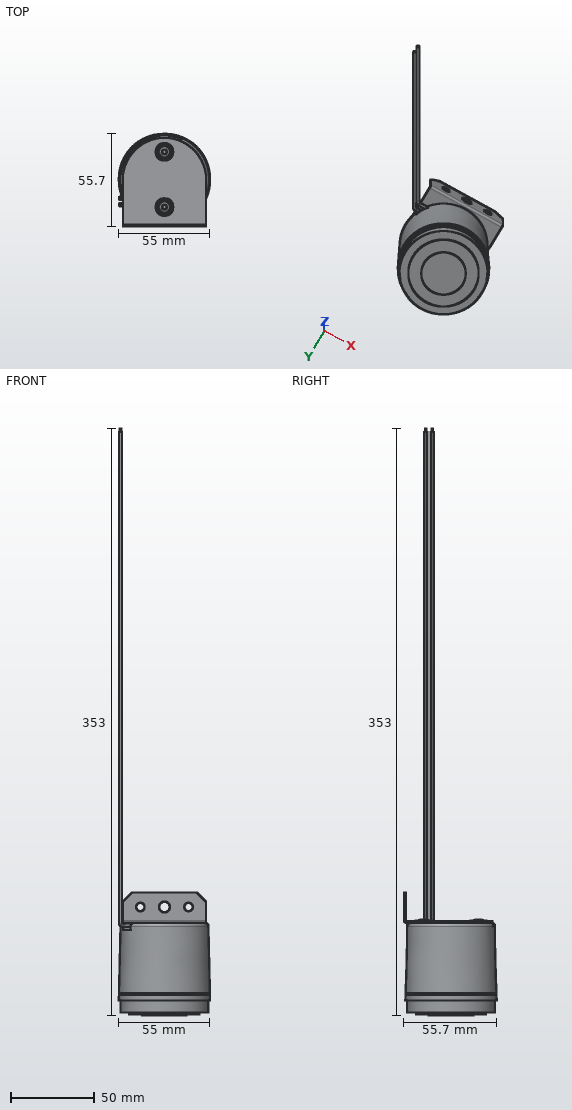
import cadquery as cq
import math

total_height = 353.0

shell_top_radius = 26.5
shell_bottom_radius = 27.5
base_radius = 26.5
housing_top_z = 55.8
rim_fillet = 2.0
shell_bottom_z = 9.2
groove_z = 13.0
groove_width = 1.0
groove_depth = 0.18
base_bottom_z = 1.8
foot_radius = 21.2
foot_bottom_z = 0.7
nub_radius = 13.5

notch_angle = 210.0
notch_width = 8.5
notch_inner_distance = 20.0
notch_bottom_z = 51.5

plate_thickness = 1.0
plate_half_width = 25.0
flange_outer_y = -28.2
flange_top_z = 74.0
flange_corner = 5.5
bend_outer_radius = 1.5
mount_hole_z = 65.3
mount_hole_offset = 14.5
side_hole_radius = 2.5
centre_hole_radius = 3.2

rivet_offset = 16.5
head_radius = 5.3
crown_radius = 4.5
crown_height = 0.5
tip_base_radius = 2.65
tip_base_height = 0.53
tip_radius = 1.5
head_height = 1.0
shank_radius = 3.5
shank_depth = 7.0

lead_radius = 1.0
lead_x = -26.5
lead_ys = (-11.3, -15.2)
lead_run_z = 54.5
lead_end_x = -20.0
lead_bend_radius = 1.5
bare_radius = 0.53
bare_length = 2.0

plate_top_z = housing_top_z + plate_thickness
bend_inner_radius = bend_outer_radius - plate_thickness
rivet_ys = (rivet_offset, -rivet_offset)


def shell_radius(z):
    """Radius of the drafted shell wall at height z."""
    fillet_start_z = housing_top_z - rim_fillet
    fraction = (z - shell_bottom_z) / (fillet_start_z - shell_bottom_z)
    return shell_bottom_radius + fraction * (shell_top_radius - shell_bottom_radius)


def make_lead(y):
    """One wire: vertical run, bend, and a short horizontal run into the notch."""
    insulation_top_z = total_height - bare_length
    bend_centre_x = lead_x + lead_bend_radius
    bend_centre_z = lead_run_z + lead_bend_radius
    diagonal = lead_bend_radius * math.sqrt(0.5)
    path = (
        cq.Workplane("XZ", origin=(0, y, 0))
        .moveTo(lead_x, insulation_top_z)
        .lineTo(lead_x, bend_centre_z)
        .threePointArc(
            (bend_centre_x - diagonal, bend_centre_z - diagonal),
            (bend_centre_x, lead_run_z),
        )
        .lineTo(lead_end_x, lead_run_z)
    )
    insulation = (
        cq.Workplane("XY", origin=(lead_x, y, insulation_top_z))
        .circle(lead_radius)
        .sweep(path)
    )
    bare_tip = (
        cq.Workplane("XY", origin=(lead_x, y, insulation_top_z))
        .circle(bare_radius)
        .extrude(bare_length)
    )
    return insulation.union(bare_tip)


def make_rivet(y):
    """One rivet: low crowned head on the plate, a raised tip in its middle, and a shank below."""
    shank_bottom_z = housing_top_z - shank_depth
    rivet = (
        cq.Workplane("XZ")
        .moveTo(0, shank_bottom_z)
        .lineTo(shank_radius, shank_bottom_z)
        .lineTo(shank_radius, plate_top_z)
        .lineTo(head_radius, plate_top_z)
        .lineTo(crown_radius, plate_top_z + crown_height)
        .lineTo(tip_base_radius, plate_top_z + tip_base_height)
        .lineTo(tip_radius, plate_top_z + head_height)
        .lineTo(0, plate_top_z + head_height)
        .close()
        .revolve(360, (0, 0), (0, 1))
    )
    return rivet.translate((0, y, 0))


def drill_rivet_holes(body):
    """Clear the rivet shanks out of a body."""
    holes = (
        cq.Workplane("XY", origin=(0, 0, housing_top_z - shank_depth))
        .pushPoints([(0, y) for y in rivet_ys])
        .circle(shank_radius)
        .extrude(shank_depth + plate_thickness)
    )
    return body.cut(holes)


def make_housing(leads):
    """Turned cup and base with the lead notch and the rivet holes."""
    fillet_start_z = housing_top_z - rim_fillet
    diagonal = rim_fillet * math.sqrt(0.5)
    fillet_centre_x = shell_top_radius - rim_fillet
    groove_top_z = groove_z + groove_width / 2
    groove_bottom_z = groove_z - groove_width / 2
    housing = (
        cq.Workplane("XZ")
        .moveTo(0, 0)
        .lineTo(-nub_radius, 0)
        .lineTo(-nub_radius, foot_bottom_z)
        .lineTo(-foot_radius, foot_bottom_z)
        .lineTo(-foot_radius, base_bottom_z)
        .lineTo(-base_radius, base_bottom_z)
        .lineTo(-base_radius, shell_bottom_z)
        .lineTo(-shell_bottom_radius, shell_bottom_z)
        .lineTo(-shell_radius(groove_bottom_z), groove_bottom_z)
        .lineTo(groove_depth - shell_radius(groove_bottom_z), groove_bottom_z)
        .lineTo(groove_depth - shell_radius(groove_top_z), groove_top_z)
        .lineTo(-shell_radius(groove_top_z), groove_top_z)
        .lineTo(-shell_top_radius, fillet_start_z)
        .threePointArc(
            (-fillet_centre_x - diagonal, fillet_start_z + diagonal),
            (-fillet_centre_x, housing_top_z),
        )
        .lineTo(0, housing_top_z)
        .close()
        .revolve(360, (0, 0), (0, 1))
    )
    notch_length = shell_bottom_radius - notch_inner_distance
    notch = (
        cq.Workplane("XY")
        .box(notch_length, notch_width, housing_top_z - notch_bottom_z, centered=(False, True, False))
        .translate((notch_inner_distance, 0, notch_bottom_z))
        .rotate((0, 0, 0), (0, 0, 1), notch_angle)
    )
    housing = drill_rivet_holes(housing.cut(notch))
    for lead in leads:
        housing = housing.cut(lead)
    return housing


def make_bracket():
    """Round-backed plate bent up into a flange with clipped corners and three holes."""
    profile = (
        cq.Workplane("YZ")
        .moveTo(plate_half_width, housing_top_z)
        .lineTo(flange_outer_y, housing_top_z)
        .lineTo(flange_outer_y, flange_top_z)
        .lineTo(flange_outer_y + plate_thickness, flange_top_z)
        .lineTo(flange_outer_y + plate_thickness, plate_top_z)
        .lineTo(plate_half_width, plate_top_z)
        .close()
        .extrude(plate_half_width, both=True)
    )
    inner_bend = cq.selectors.NearestToPointSelector((0, flange_outer_y + plate_thickness, plate_top_z))
    outer_bend = cq.selectors.NearestToPointSelector((0, flange_outer_y, housing_top_z))
    bracket = profile.edges("|X").edges(inner_bend).fillet(bend_inner_radius)
    bracket = bracket.edges("|X").edges(outer_bend).fillet(bend_outer_radius)
    bracket = bracket.edges("|Y and >Z").chamfer(flange_corner)

    plate_outline = (
        cq.Workplane("XY")
        .moveTo(-plate_half_width, flange_outer_y)
        .lineTo(plate_half_width, flange_outer_y)
        .lineTo(plate_half_width, 0)
        .threePointArc((0, plate_half_width), (-plate_half_width, 0))
        .close()
        .extrude(flange_top_z)
    )
    bracket = bracket.intersect(plate_outline)

    for x, radius in (
        (-mount_hole_offset, side_hole_radius),
        (0, centre_hole_radius),
        (mount_hole_offset, side_hole_radius),
    ):
        hole = (
            cq.Workplane("XZ", origin=(x, flange_outer_y, mount_hole_z))
            .circle(radius)
            .extrude(-plate_thickness)
        )
        bracket = bracket.cut(hole)
    return drill_rivet_holes(bracket)


leads = [make_lead(y) for y in lead_ys]
rivets = [make_rivet(y) for y in rivet_ys]
housing = make_housing(leads)
bracket = make_bracket()

result = cq.Compound.makeCompound(
    [
        housing.val(),
        bracket.val(),
        *[rivet.val() for rivet in rivets],
        *[lead.val() for lead in leads],
    ]
)